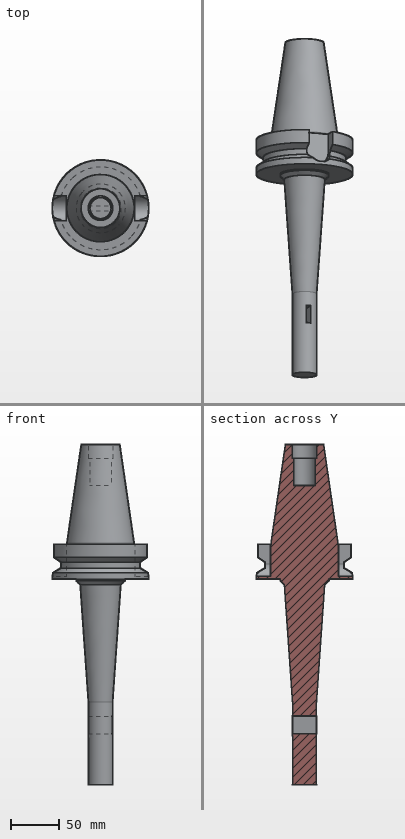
import cadquery as cq

LENGTH = 351.8
TOP = LENGTH / 2
BOTTOM = -LENGTH / 2

TAPER_RATIO = 7 / 24
TAPER_LENGTH = 101.5
GAUGE_RADIUS = 35.0
TAPER_TOP_RADIUS = GAUGE_RADIUS - TAPER_LENGTH * TAPER_RATIO / 2
GAUGE_Z = TOP - TAPER_LENGTH

FLANGE_RADIUS = 50.0
FLANGE_GAP = 1.5
UPPER_RIM_HEIGHT = 13.7
GROOVE_RADIUS = 43.0
GROOVE_FLOOR_HEIGHT = 6.0
GROOVE_SIDE_HEIGHT = 5.0
LOWER_RIM_HEIGHT = 6.7
FLANGE_TOP = GAUGE_Z - FLANGE_GAP
UPPER_RIM_BOTTOM = FLANGE_TOP - UPPER_RIM_HEIGHT
GROOVE_FLOOR_TOP = UPPER_RIM_BOTTOM - GROOVE_SIDE_HEIGHT
GROOVE_FLOOR_BOTTOM = GROOVE_FLOOR_TOP - GROOVE_FLOOR_HEIGHT
LOWER_RIM_TOP = GROOVE_FLOOR_BOTTOM - GROOVE_SIDE_HEIGHT
FLANGE_BOTTOM = LOWER_RIM_TOP - LOWER_RIM_HEIGHT

COLLAR_RADIUS = 25.5
COLLAR_STRAIGHT = 1.5
COLLAR_CONE_HEIGHT = 4.2
SHANK_RADIUS = 21.0
NOSE_RADIUS = 12.5
NOSE_LENGTH = 86.0
COLLAR_CONE_TOP = FLANGE_BOTTOM - COLLAR_STRAIGHT
COLLAR_BOTTOM = COLLAR_CONE_TOP - COLLAR_CONE_HEIGHT
NOSE_TOP = BOTTOM + NOSE_LENGTH

BORE_RADIUS = 12.5
BORE_DEPTH = 14.0
INNER_BORE_RADIUS = 11.0
INNER_BORE_DEPTH = 42.2

KEYWAY_WIDTH = 25.7
KEYWAY_DEPTH = 33.0
KEYWAY_FLOOR_X = 35.2

DRIFT_SLOT_WIDTH = 5.0
DRIFT_SLOT_HEIGHT = 18.3
DRIFT_SLOT_BOTTOM = BOTTOM + 52.8


def make_body():
    """Revolve the half profile of the solid holder about Z."""
    profile = [
        (0, TOP),
        (TAPER_TOP_RADIUS, TOP),
        (GAUGE_RADIUS, GAUGE_Z),
        (GAUGE_RADIUS, FLANGE_TOP),
        (FLANGE_RADIUS, FLANGE_TOP),
        (FLANGE_RADIUS, UPPER_RIM_BOTTOM),
        (GROOVE_RADIUS, GROOVE_FLOOR_TOP),
        (GROOVE_RADIUS, GROOVE_FLOOR_BOTTOM),
        (FLANGE_RADIUS, LOWER_RIM_TOP),
        (FLANGE_RADIUS, FLANGE_BOTTOM),
        (COLLAR_RADIUS, FLANGE_BOTTOM),
        (COLLAR_RADIUS, COLLAR_CONE_TOP),
        (SHANK_RADIUS, COLLAR_BOTTOM),
        (NOSE_RADIUS, NOSE_TOP),
        (NOSE_RADIUS, BOTTOM),
        (0, BOTTOM),
    ]
    return cq.Workplane("XZ").polyline(profile).close().revolve(360, (0, 0), (0, 1))


def make_bore():
    """Two coaxial cylinders running down from the top face."""
    top_face = cq.Workplane("XY", origin=(0, 0, TOP))
    outer = top_face.circle(BORE_RADIUS).extrude(-BORE_DEPTH)
    inner = top_face.circle(INNER_BORE_RADIUS).extrude(-INNER_BORE_DEPTH)
    return outer.union(inner)


def make_keyway(side):
    """Round-bottomed keyway outside the flat floor; side is -1 or +1 along X."""
    half_width = KEYWAY_WIDTH / 2
    arc_center_z = FLANGE_TOP - KEYWAY_DEPTH + half_width
    return (
        cq.Workplane("YZ", origin=(side * KEYWAY_FLOOR_X, 0, 0))
        .moveTo(-half_width, FLANGE_TOP)
        .lineTo(-half_width, arc_center_z)
        .threePointArc((0, FLANGE_TOP - KEYWAY_DEPTH), (half_width, arc_center_z))
        .lineTo(half_width, FLANGE_TOP)
        .close()
        .extrude(side * FLANGE_RADIUS)
    )


def make_drift_slot():
    """Rectangular slot passing right through the nose."""
    return cq.Workplane("XY", origin=(0, 0, DRIFT_SLOT_BOTTOM)).box(
        2 * FLANGE_RADIUS,
        DRIFT_SLOT_WIDTH,
        DRIFT_SLOT_HEIGHT,
        centered=(True, True, False),
    )


result = make_body().cut(make_bore()).cut(make_drift_slot())
for side in (-1, 1):
    result = result.cut(make_keyway(side))